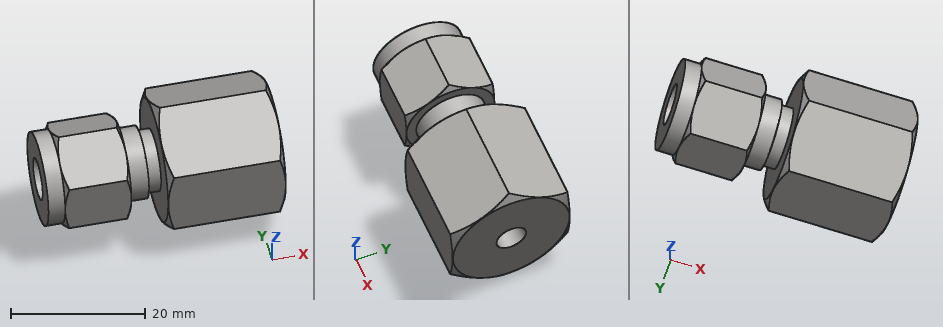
import cadquery as cq
import math


collar_end = 2.55
nut_end = 12.7
neck_end = 15.75
body_start = 17.78
body_end = 35.81

nut_flats = 14.29
body_flats = 19.05
hexagon_half_angle = 30

collar_diameter = nut_flats
neck_diameter = 11.11
stem_diameter = 9.53

socket_diameter = 6.4
socket_depth = 15.24
through_diameter = 4.8

chamfer_angle = 30
nut_face_diameter = nut_flats
body_face_diameter = 18.9
envelope_clearance = 1


def cylinder(diameter, start, end):
    """Round bar along X between two positions."""
    return cq.Workplane("YZ", origin=(start, 0, 0)).circle(diameter / 2).extrude(end - start)


def chamfered_hexagon(flats, face_diameter, start, end):
    """Hexagonal bar along X with corners up and down, both ends turned to a cone."""
    corner_diameter = flats / math.cos(math.radians(hexagon_half_angle))
    prism = (
        cq.Workplane("YZ", origin=(start, 0, 0))
        .transformed(rotate=(0, 0, 90))
        .polygon(6, corner_diameter)
        .extrude(end - start)
    )

    face_radius = face_diameter / 2
    envelope_radius = corner_diameter / 2 + envelope_clearance
    cone_length = (envelope_radius - face_radius) * math.tan(math.radians(chamfer_angle))
    envelope = (
        cq.Workplane("XY")
        .moveTo(start, 0)
        .lineTo(start, face_radius)
        .lineTo(start + cone_length, envelope_radius)
        .lineTo(end - cone_length, envelope_radius)
        .lineTo(end, face_radius)
        .lineTo(end, 0)
        .close()
        .revolve(360, (0, 0, 0), (1, 0, 0))
    )
    return prism.intersect(envelope)


collar = cylinder(collar_diameter, 0, collar_end)
nut = chamfered_hexagon(nut_flats, nut_face_diameter, collar_end, nut_end)
neck = cylinder(neck_diameter, nut_end, neck_end)
stem = cylinder(stem_diameter, neck_end, body_start)
body = chamfered_hexagon(body_flats, body_face_diameter, body_start, body_end)
fitting = collar.union(nut).union(neck).union(stem).union(body)

tube_socket = cylinder(socket_diameter, 0, socket_depth)
through_hole = cylinder(through_diameter, 0, body_end)
result = fitting.cut(tube_socket).cut(through_hole)